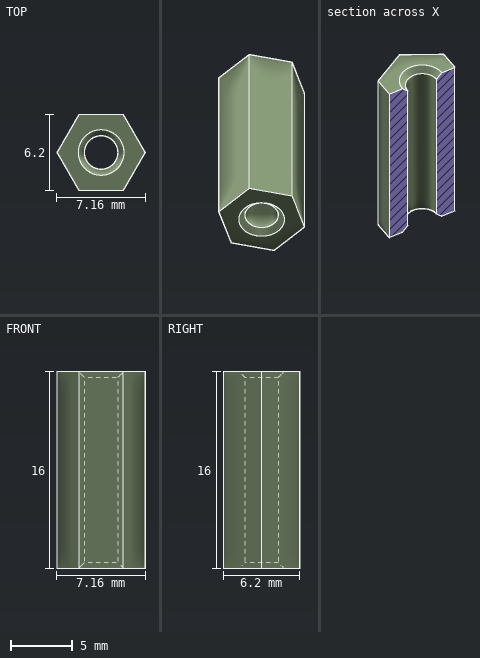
import cadquery as cq
import math

across_flats = 6.2
length = 16.0
bore_diameter = 2.7
countersink_diameter = 3.7

across_corners = across_flats / math.cos(math.radians(30))
countersink_depth = (countersink_diameter - bore_diameter) / 2


def hex_body():
    """Hexagonal bar with two corners on the X axis."""
    return cq.Workplane("XY").polygon(6, across_corners).extrude(length)


def bore_cutter():
    """Through bore with the same countersink at both ends, as a revolved half profile."""
    bore_radius = bore_diameter / 2
    mouth_radius = countersink_diameter / 2
    return (
        cq.Workplane("XZ")
        .moveTo(0, 0)
        .lineTo(mouth_radius, 0)
        .lineTo(bore_radius, countersink_depth)
        .lineTo(bore_radius, length - countersink_depth)
        .lineTo(mouth_radius, length)
        .lineTo(0, length)
        .close()
        .revolve(360, (0, 0, 0), (0, 1, 0))
    )


result = hex_body().cut(bore_cutter())